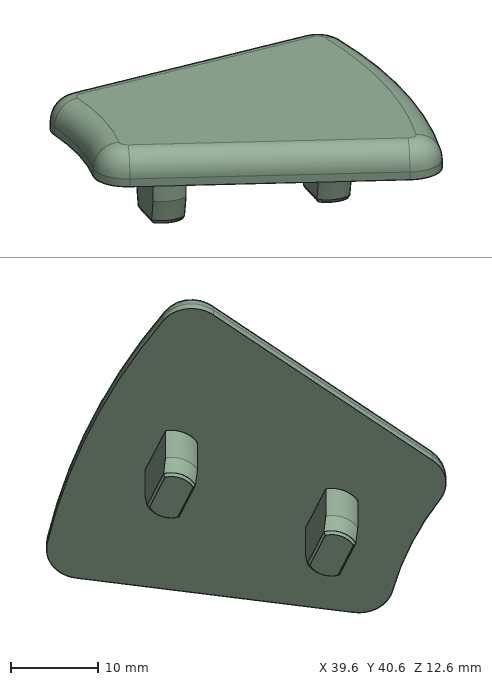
import cadquery as cq
import math

outer_radius = 80.0
inner_radius = 40.0
half_angle = math.radians(15.03)
plate_thickness = 4.0
corner_radius = 4.0
edge_radius = 3.0

peg_centers_y = (50.0, 70.0)
peg_radius = 3.55
peg_thickness = 4.0
peg_length = 8.55
peg_straight_length = 5.6
peg_tip_radius = 3.1
peg_tip_chamfer_height = 0.4
peg_tip_chamfer_width = 0.25
peg_overlap = 0.4


def sector_point(radius, angle):
    """Point at a radius from the origin, with the angle measured from +Y towards +X."""
    return (radius * math.sin(angle), radius * math.cos(angle))


def make_plate():
    """Ring sector on Z = 0 with rounded corners and a rounded upper edge."""
    blank = (
        cq.Workplane("XY")
        .moveTo(*sector_point(outer_radius, -half_angle))
        .threePointArc((0, outer_radius), sector_point(outer_radius, half_angle))
        .lineTo(*sector_point(inner_radius, half_angle))
        .threePointArc((0, inner_radius), sector_point(inner_radius, -half_angle))
        .close()
        .extrude(plate_thickness)
    )
    return blank.edges("|Z").fillet(corner_radius).faces(">Z").edges().fillet(edge_radius)


def make_peg(center_y):
    """Turned peg hanging below Z = 0, cut to a flat slab across Y."""
    tip_end_radius = peg_tip_radius - peg_tip_chamfer_width
    turned = (
        cq.Workplane("XZ")
        .moveTo(0, peg_overlap)
        .lineTo(peg_radius, peg_overlap)
        .lineTo(peg_radius, -peg_straight_length)
        .lineTo(peg_tip_radius, -peg_length + peg_tip_chamfer_height)
        .lineTo(tip_end_radius, -peg_length)
        .lineTo(0, -peg_length)
        .close()
        .revolve(360, (0, 0), (0, 1))
    )
    slab = (
        cq.Workplane("XY")
        .workplane(offset=-peg_length)
        .rect(2 * peg_radius, peg_thickness)
        .extrude(peg_length + peg_overlap)
    )
    slab = slab.faces("<Z").edges("|X").chamfer(peg_tip_chamfer_height, peg_tip_chamfer_width)
    return turned.intersect(slab).translate((0, center_y, 0))


result = make_plate()
for peg_center_y in peg_centers_y:
    result = result.union(make_peg(peg_center_y))